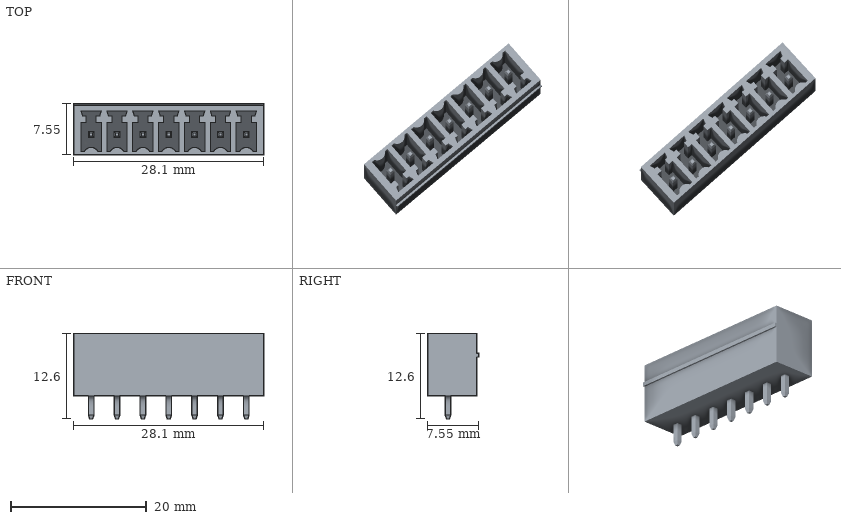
import cadquery as cq

pole_count = 7
pitch = 3.81
end_margin = 2.6

body_length = (pole_count - 1) * pitch + 2 * end_margin
body_depth = 7.25
body_height = 9.2
floor_thickness = 1.2

rib_projection = 0.3
rib_height = 0.6
rib_top_drop = 2.9

chamber_half_width = 1.5
neck_half_width = 0.75
dovetail_root_half_width = 1.25
chamber_front_y = 0.5
neck_front_y = 4.8
neck_back_y = 5.7
chamber_back_y = 6.5
key_half_width = 1.0
key_rise = 0.6

pin_width = 0.85
pin_tip_width = 0.45
pin_taper_length = 0.6
pin_y = 3.0
pin_projection = 3.4
pin_top_drop = 1.4

pin_positions = [(i - (pole_count - 1) / 2) * pitch for i in range(pole_count)]


def make_housing():
    """Plain block with the rib running the full length of its back face."""
    block = cq.Workplane("XY").box(body_length, body_depth, body_height, centered=(True, False, False))
    rib = (
        cq.Workplane("XY")
        .workplane(offset=body_height - rib_top_drop - rib_height)
        .box(body_length, body_depth + rib_projection, rib_height, centered=(True, False, False))
    )
    return block.union(rib)


def make_chamber(x):
    """Chamber volume: dovetail slot at the back, neck, main bay and rounded front key."""
    right_side = [
        (chamber_half_width, chamber_front_y),
        (chamber_half_width, neck_front_y),
        (neck_half_width, neck_front_y),
        (neck_half_width, neck_back_y),
        (dovetail_root_half_width, neck_back_y),
        (chamber_half_width, chamber_back_y),
    ]
    left_side = [(-px, py) for px, py in reversed(right_side)]
    outline = (
        cq.Workplane("XY", origin=(x, 0, floor_thickness))
        .moveTo(-key_half_width, chamber_front_y)
        .threePointArc((0, chamber_front_y + key_rise), (key_half_width, chamber_front_y))
    )
    for px, py in right_side + left_side:
        outline = outline.lineTo(px, py)
    return outline.close().extrude(body_height - floor_thickness)


def make_pin_taper(x, base_z, direction):
    """Pyramid-shaped pin end; direction is 1 for upward and -1 for downward."""
    return (
        cq.Workplane("XY", origin=(x, pin_y, base_z))
        .rect(pin_width, pin_width)
        .workplane(offset=direction * pin_taper_length)
        .rect(pin_tip_width, pin_tip_width)
        .loft(ruled=True)
    )


def make_pin(x):
    """Square pin passing through the chamber floor."""
    shank_bottom = pin_taper_length - pin_projection
    shank_top = body_height - pin_top_drop - pin_taper_length
    shank = (
        cq.Workplane("XY", origin=(x, pin_y, shank_bottom))
        .rect(pin_width, pin_width)
        .extrude(shank_top - shank_bottom)
    )
    upper_end = make_pin_taper(x, shank_top, 1)
    lower_end = make_pin_taper(x, shank_bottom, -1)
    return shank.union(upper_end).union(lower_end)


result = make_housing()
for pin_x in pin_positions:
    result = result.cut(make_chamber(pin_x)).union(make_pin(pin_x))